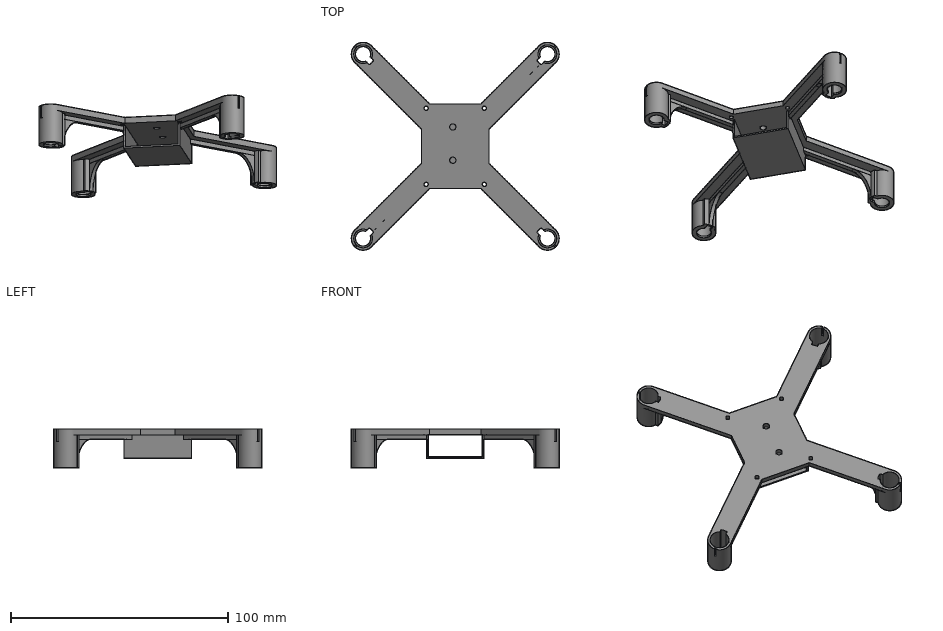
import cadquery as cq
import math

span = 95.85
height = 18.0
sleeve_radius = 5.5
sleeve_offset = span / 2 - sleeve_radius
tip_distance = sleeve_offset * math.sqrt(2)
arm_angles = [45, 135, 225, 315]

plate_thickness = 2.9
plate_length_x = 31.15
plate_length_y = 39.1
plate_bottom = height - plate_thickness

corner_hole_diameter = 1.8
corner_hole_x = 13.4
corner_hole_y = 17.5
centre_hole_diameter = 2.9
centre_hole_x = -1.15
centre_hole_ys = [8.9, -6.4]

tray_width = 26.3
tray_length = 31.15
tray_wall = 0.8
tray_bottom = 4.4

bore_radius = 4.3
lip_radius = 3.45
lip_height = 1.0
channel_width = 2.9
channel_radius = 5.6
boss_width = 6.1
boss_radius = 6.5
slot_width = 0.8
slot_depth = 5.9

rib_width = 1.9
rib_depth = 2.0
rib_bottom = plate_bottom - rib_depth
gusset_reach = 9.2


def on_arm(shape, angle):
    """Carry a shape built around the sleeve axis, with +X outwards, to the tip of one arm."""
    return shape.translate((tip_distance, 0, 0)).rotate((0, 0, 0), (0, 0, 1), angle)


def cylinder(radius, bottom, top):
    return cq.Workplane("XY").workplane(offset=bottom).circle(radius).extrude(top - bottom)


def block(x_min, x_max, width, bottom, top):
    """A box centred on the X axis in Y."""
    return (
        cq.Workplane("XY")
        .box(x_max - x_min, width, top - bottom, centered=(False, True, False))
        .translate((x_min, 0, bottom))
    )


def curved_key(radius, width, bottom, top):
    """The inward side of a cylinder, trimmed to a width: a key with an arc-shaped end."""
    return cylinder(radius, bottom, top).intersect(block(-radius, 0, width, bottom, top))


def sleeve_blank():
    """A solid sleeve with the boss that makes room for the wire channel."""
    return cylinder(sleeve_radius, 0, height).union(curved_key(boss_radius, boss_width, 0, height))


def sleeve_cavity():
    bore = cylinder(bore_radius, lip_height, height).union(cylinder(lip_radius, 0, height))
    channel = curved_key(channel_radius, channel_width, 0, height)
    slot = block(0, sleeve_radius, slot_width, height - slot_depth, height)
    return bore.union(channel).union(slot)


def tray():
    outside = block(-tray_width / 2, tray_width / 2, tray_length, tray_bottom, plate_bottom)
    half_inside = tray_width / 2 - tray_wall
    return outside.cut(
        block(-half_inside, half_inside, tray_length, tray_bottom + tray_wall, plate_bottom)
    )


def plate_holes():
    corner_holes = (
        cq.Workplane("XY")
        .workplane(offset=plate_bottom)
        .rect(2 * corner_hole_x, 2 * corner_hole_y, forConstruction=True)
        .vertices()
        .circle(corner_hole_diameter / 2)
        .extrude(plate_thickness)
    )
    centre_holes = (
        cq.Workplane("XY")
        .workplane(offset=plate_bottom)
        .pushPoints([(centre_hole_x, y) for y in centre_hole_ys])
        .circle(centre_hole_diameter / 2)
        .extrude(plate_thickness)
    )
    return corner_holes.add(centre_holes).combine()


def make_frame():
    """The plate with its arms, sleeves and tray, in one piece."""
    frame = block(-plate_length_x / 2, plate_length_x / 2, plate_length_y, plate_bottom, height)
    for angle in arm_angles:
        arm = block(-tip_distance, 0, 2 * sleeve_radius, plate_bottom, height)
        frame = frame.union(on_arm(arm, angle)).union(on_arm(sleeve_blank(), angle))
    for angle in arm_angles:
        frame = frame.cut(on_arm(sleeve_cavity(), angle))
    return frame.cut(plate_holes()).union(tray())


def make_rib(angle):
    """A straight bar under an arm, from the side of the tray to the boss of the sleeve."""
    bar = block(-tip_distance, 0, rib_width, rib_bottom, plate_bottom)
    bar = bar.cut(cylinder(boss_radius, rib_bottom, plate_bottom))
    tray_space = block(-tray_width / 2, tray_width / 2, tray_length, rib_bottom, plate_bottom)
    return on_arm(bar, angle).cut(tray_space)


def make_gusset(angle):
    """A web between sleeve and rib whose free edge is a quarter ellipse."""
    web_end = -boss_radius - gusset_reach
    web = block(web_end, 0, rib_width, 0, rib_bottom)
    ellipse = (
        cq.Workplane("XZ")
        .center(web_end, 0)
        .ellipse(gusset_reach, rib_bottom)
        .extrude(rib_width, both=True)
    )
    web = web.cut(ellipse).cut(cylinder(boss_radius, 0, rib_bottom))
    return on_arm(web, angle)


frame = make_frame()
ribs = [make_rib(angle) for angle in arm_angles]
gussets = [make_gusset(angle) for angle in arm_angles]
bodies = [frame, *ribs, *gussets]

result = cq.Compound.makeCompound([body.solids().val() for body in bodies])